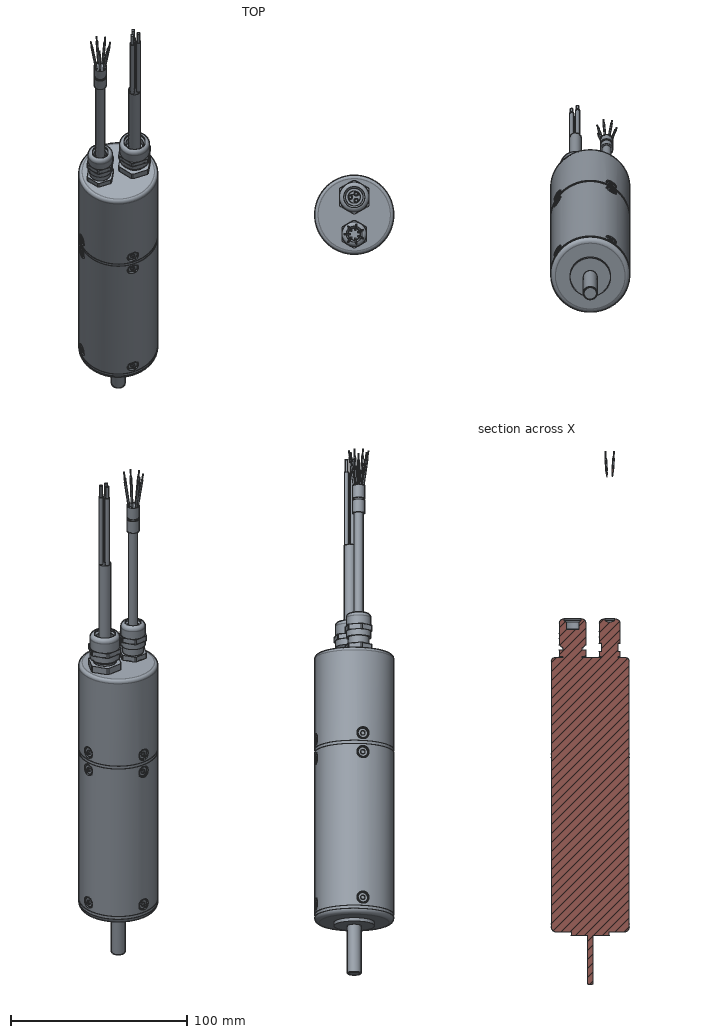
import cadquery as cq
import math


BODY_DIA = 45.0
BODY_LENGTH = 155.7
REAR_FILLET = 2.0
FRONT_FILLET = 2.75
JOINT_DEPTH = 0.1
JOINT_WIDTH = 1.8
FRONT_JOINT_Z = 3.7
MIDDLE_JOINT_Z = 100.0

PILOT_DIA = 23.0
PILOT_LENGTH = 2.0
SHAFT_DIA = 8.0
SHAFT_LENGTH = 30.0
SHAFT_CHAMFER = 0.5

SCREW_COUNT = 4
SCREW_OFFSET_FROM_JOINT = 5.5
FRONT_SCREW_Z = 9.5
SCREW_LEVELS = (
    FRONT_SCREW_Z,
    MIDDLE_JOINT_Z - SCREW_OFFSET_FROM_JOINT,
    MIDDLE_JOINT_Z + SCREW_OFFSET_FROM_JOINT,
)
SCREW_BORE_DIA = 6.9
SCREW_BORE_DEPTH = 1.2
SCREW_HEAD_DIA = 5.6
SCREW_HEAD_HEIGHT = 0.7
SCREW_SOCKET_DIA = 2.5

GLAND_HEIGHT = 22.0
GLAND_BASE_GAP = 0.4
GLAND_BORE_DEPTH = 6.0
GLAND_BORE_CHAMFER = 1.0
GLAND_RIM_FILLET = 2.5
HEX_CORNER_RATIO = 1.12
POWER_Y = 10.0
SIGNAL_Y = -11.0

WIRE_EMBED = 0.5
WIRE_TOP_Z = 272.5
CABLE_BOTTOM = BODY_LENGTH + GLAND_HEIGHT - GLAND_BORE_DEPTH - WIRE_EMBED
POWER_STRIPPED_LENGTH = 50.0
POWER_CABLE_DIA = 6.9
POWER_SHEATH_TOP = WIRE_TOP_Z - POWER_STRIPPED_LENGTH
POWER_WIRE_COUNT = 3
POWER_WIRE_DIA = 2.5
POWER_WIRE_CIRCLE_RADIUS = 2.2
POWER_CONDUCTOR_DIA = 1.6
POWER_CONDUCTOR_LENGTH = 7.3

SIGNAL_CABLE_DIA = 5.3
FERRULE_DIA = 7.1
FERRULE_GROOVE_DIA = 6.4
FERRULE_GROOVE_WIDTH = 1.0
FERRULE_LENGTH = 16.0
SIGNAL_WIRE_HEIGHT = 20.1
FERRULE_TOP = WIRE_TOP_Z - SIGNAL_WIRE_HEIGHT
SIGNAL_WIRE_COUNT = 7
SIGNAL_WIRE_DIA = 1.0
SIGNAL_BASE_RADIUS = 2.6
SIGNAL_TIP_RADIUS = 5.6
SIGNAL_CONDUCTOR_DIA = 0.5
SIGNAL_CONDUCTOR_LENGTH = 4.0


def cylinder(diameter, bottom, top, x=0.0, y=0.0):
    """Upright cylinder between two heights."""
    return cq.Workplane("XY", origin=(x, y, bottom)).circle(diameter / 2).extrude(top - bottom)


def hexagon(across_flats, bottom, top):
    """Upright hexagonal prism with two corners on the Y axis; the corners are turned round."""
    across_corners = across_flats / math.cos(math.pi / 6)
    prism = cq.Workplane("XY").polygon(6, across_corners).extrude(top - bottom)
    prism = prism.intersect(cylinder(HEX_CORNER_RATIO * across_flats, 0, top - bottom))
    return prism.rotate((0, 0, 0), (0, 0, 1), 90).translate((0, 0, bottom))


def joint_groove(center_z):
    """Ring to cut from the housing where two of its sections meet."""
    outer_dia = BODY_DIA + JOINT_DEPTH
    inner_dia = BODY_DIA - 2 * JOINT_DEPTH
    bottom = center_z - JOINT_WIDTH / 2
    top = center_z + JOINT_WIDTH / 2
    return cylinder(outer_dia, bottom, top).cut(cylinder(inner_dia, bottom, top))


def add_screw(body, z, angle):
    """Counterbored socket screw pointing radially into the housing."""
    floor_radius = BODY_DIA / 2 - SCREW_BORE_DEPTH
    plane = cq.Plane(origin=(floor_radius, 0, z), xDir=(0, 1, 0), normal=(1, 0, 0))
    floor = cq.Workplane(plane)
    bore = floor.circle(SCREW_BORE_DIA / 2).extrude(2 * SCREW_BORE_DEPTH)
    head = floor.circle(SCREW_HEAD_DIA / 2).circle(SCREW_SOCKET_DIA / 2).extrude(SCREW_HEAD_HEIGHT)
    pocket = bore.cut(head)
    return body.cut(pocket.rotate((0, 0, 0), (0, 0, 1), angle))


def make_motor():
    """Housing with joints and screws, pilot boss and shaft."""
    body = cylinder(BODY_DIA, 0, BODY_LENGTH)
    body = body.faces(">Z").edges().fillet(REAR_FILLET)
    body = body.faces("<Z").edges().fillet(FRONT_FILLET)
    for joint_z in (FRONT_JOINT_Z, MIDDLE_JOINT_Z):
        body = body.cut(joint_groove(joint_z))
    for z in SCREW_LEVELS:
        for i in range(SCREW_COUNT):
            body = add_screw(body, z, i * 360 / SCREW_COUNT)
    pilot = cylinder(PILOT_DIA, -PILOT_LENGTH, 0)
    shaft = cylinder(SHAFT_DIA, -SHAFT_LENGTH, 0).faces("<Z").chamfer(SHAFT_CHAMFER)
    return body.union(pilot).union(shaft)


def make_gland(y, size, bore_dia, neck_dia, base_height, cap_bottom, nut_bottom, nut_top, cap_chamfer):
    """Cable gland: hex base, neck and a round cap with a hexagonal nut collar.

    Size is both the cap diameter and the width across the hexagon flats.
    """
    cap = cylinder(size, cap_bottom, GLAND_HEIGHT).faces(">Z").edges().fillet(GLAND_RIM_FILLET)
    if cap_chamfer > 0:
        cap = cap.faces("<Z").chamfer(cap_chamfer)
    bore = cylinder(bore_dia - 2 * GLAND_BORE_CHAMFER, GLAND_HEIGHT - GLAND_BORE_DEPTH, GLAND_HEIGHT)
    mouth = cylinder(bore_dia, GLAND_HEIGHT - 2 * GLAND_BORE_CHAMFER, GLAND_HEIGHT)
    bore = bore.union(mouth.faces("<Z").chamfer(GLAND_BORE_CHAMFER))
    gland = hexagon(size, GLAND_BASE_GAP, base_height)
    gland = gland.union(cylinder(neck_dia, 0, nut_bottom))
    gland = gland.union(cap)
    gland = gland.union(hexagon(size, nut_bottom, nut_top))
    return gland.cut(bore).translate((0, y, BODY_LENGTH))


def make_power_cable():
    """Sheathed cable ending in three parallel stripped wires."""
    cable = cylinder(POWER_CABLE_DIA, CABLE_BOTTOM, POWER_SHEATH_TOP, 0, POWER_Y)
    for i in range(POWER_WIRE_COUNT):
        angle = math.pi + i * 2 * math.pi / POWER_WIRE_COUNT
        x = POWER_WIRE_CIRCLE_RADIUS * math.cos(angle)
        y = POWER_Y + POWER_WIRE_CIRCLE_RADIUS * math.sin(angle)
        start = POWER_SHEATH_TOP - WIRE_EMBED
        cable = cable.union(cylinder(POWER_WIRE_DIA, start, WIRE_TOP_Z - POWER_CONDUCTOR_LENGTH, x, y))
        cable = cable.union(cylinder(POWER_CONDUCTOR_DIA, start, WIRE_TOP_Z, x, y))
    return cable


def make_signal_wire(angle):
    """Stripped wire leaning outward from the ferrule, its conductor showing at the tip."""
    spread = math.atan2(SIGNAL_TIP_RADIUS - SIGNAL_BASE_RADIUS, SIGNAL_WIRE_HEIGHT)
    rim_rise = SIGNAL_CONDUCTOR_DIA / 2 * math.sin(spread)
    start_z = FERRULE_TOP - WIRE_EMBED
    length = (WIRE_TOP_Z - rim_rise - start_z) / math.cos(spread)
    plane = cq.Plane(
        origin=(SIGNAL_BASE_RADIUS, 0, start_z),
        xDir=(0, 1, 0),
        normal=(math.sin(spread), 0, math.cos(spread)),
    )
    base = cq.Workplane(plane)
    wire = base.circle(SIGNAL_WIRE_DIA / 2).extrude(length - SIGNAL_CONDUCTOR_LENGTH)
    wire = wire.union(base.circle(SIGNAL_CONDUCTOR_DIA / 2).extrude(length))
    return wire.rotate((0, 0, 0), (0, 0, 1), angle).translate((0, SIGNAL_Y, 0))


def make_signal_cable():
    """Cable with a grooved ferrule and a spray of thin wires."""
    ferrule_bottom = FERRULE_TOP - FERRULE_LENGTH
    sleeve_length = (FERRULE_LENGTH - FERRULE_GROOVE_WIDTH) / 2
    cable = cylinder(SIGNAL_CABLE_DIA, CABLE_BOTTOM, FERRULE_TOP, 0, SIGNAL_Y)
    cable = cable.union(cylinder(FERRULE_GROOVE_DIA, ferrule_bottom, FERRULE_TOP, 0, SIGNAL_Y))
    for sleeve_bottom in (ferrule_bottom, FERRULE_TOP - sleeve_length):
        sleeve = cylinder(FERRULE_DIA, sleeve_bottom, sleeve_bottom + sleeve_length, 0, SIGNAL_Y)
        cable = cable.union(sleeve)
    for i in range(SIGNAL_WIRE_COUNT):
        cable = cable.union(make_signal_wire(180 + i * 360 / SIGNAL_WIRE_COUNT))
    return cable


power_gland = make_gland(
    y=POWER_Y, size=17.0, bore_dia=12.0, neck_dia=13.2, base_height=4.3,
    cap_bottom=5.5, nut_bottom=10.8, nut_top=13.6, cap_chamfer=1.6,
)
signal_gland = make_gland(
    y=SIGNAL_Y, size=14.0, bore_dia=9.0, neck_dia=12.0, base_height=3.5,
    cap_bottom=8.0, nut_bottom=11.5, nut_top=14.6, cap_chamfer=0.0,
)

result = make_motor()
for component in (power_gland, signal_gland, make_power_cable(), make_signal_cable()):
    result = result.union(component)